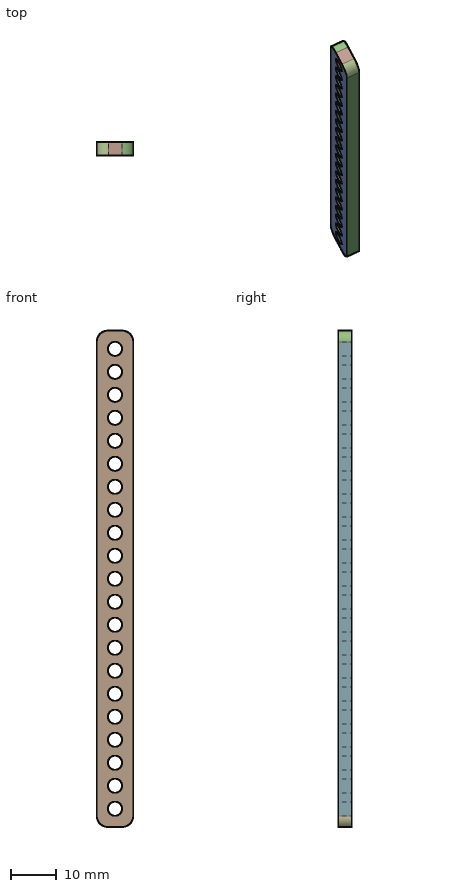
import cadquery as cq

length = 108.0
width = 8.0
thickness = 3.0
corner_radius = 2.5

hole_count = 21
hole_diameter = 3.0
end_margin = width / 2
hole_pitch = (length - 2 * end_margin) / (hole_count - 1)

strip = (
    cq.Workplane("XY")
    .box(width, thickness, length)
    .edges("|Y")
    .fillet(corner_radius)
)

result = (
    strip.faces("<Y")
    .workplane(origin=(0, 0, 0))
    .rarray(1.1, hole_pitch, 1, hole_count)
    .hole(hole_diameter)
)